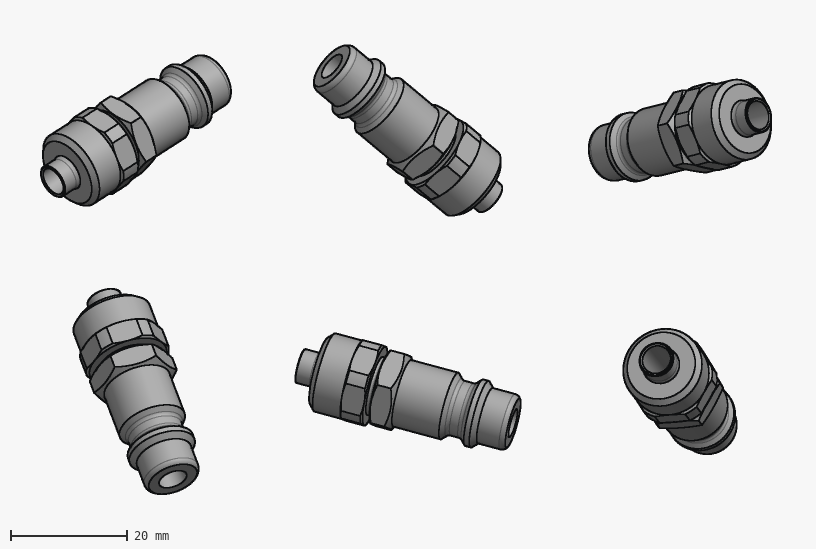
import cadquery as cq
import math

TOTAL_LENGTH = 38.5
TAIL_FLARE_START = 2.6
CAP_FRONT = 3.5
CAP_HEX_FRONT = 9.47
CAP_HEX_BACK = 13.5
BODY_HEX_FRONT = 14.5
BODY_HEX_BACK = 18.48
BODY_SHOULDER = 27.0
COLLAR_FRONT = 31.5
COLLAR_BACK = 32.5

BORE_RADIUS = 2.5
TAIL_MOUTH_RADIUS = 2.85
TAIL_MOUTH_DEPTH = 0.15
TAIL_RADIUS = 3.05
TAIL_FLARE_RADIUS = 3.25
CAP_RADIUS = 7.0
NECK_RADIUS = 5.2
BODY_RADIUS = 5.95
GROOVE_RADIUS = 4.9
PLUG_RADIUS = 4.95
PLUG_END_RADIUS = 4.4

TAIL_TIP_CHAMFER = 0.1
CAP_CHAMFER = 0.95
NECK_FILLET = 0.5
GROOVE_FILLET = 1.0
PLUG_ROUND_LENGTH = 1.0

CAP_HEX_FLATS = 14.0
BODY_HEX_FLATS = 13.0
HEX_OUTER_RADIUS = 7.5
BODY_HEX_FRONT_RADIUS = 6.4
HEX_CHAMFER_SLOPE = math.tan(math.radians(30))


def revolve_about_y(profile):
    return profile.close().revolve(360, (0, 0, 0), (0, 1, 0))


def cylinder(radius, start, end):
    return revolve_about_y(
        cq.Workplane("XY").moveTo(0, start).lineTo(radius, start).lineTo(radius, end).lineTo(0, end)
    )


def chamfered_hex(flats, start, end, start_radius, end_radius):
    """Hexagonal prism along Y whose corners are turned to a chamfered round."""
    across_corners = flats / math.cos(math.radians(30))
    prism = (
        cq.Workplane("XZ", origin=(0, start, 0))
        .polygon(6, across_corners)
        .extrude(start - end)
    )
    start_chamfer = (HEX_OUTER_RADIUS - start_radius) * HEX_CHAMFER_SLOPE
    end_chamfer = (HEX_OUTER_RADIUS - end_radius) * HEX_CHAMFER_SLOPE
    envelope = revolve_about_y(
        cq.Workplane("XY")
        .moveTo(0, start)
        .lineTo(start_radius, start)
        .lineTo(HEX_OUTER_RADIUS, start + start_chamfer)
        .lineTo(HEX_OUTER_RADIUS, end - end_chamfer)
        .lineTo(end_radius, end)
        .lineTo(0, end)
    )
    return prism.intersect(envelope)


def hose_tail():
    return revolve_about_y(
        cq.Workplane("XY")
        .lineTo(TAIL_RADIUS - TAIL_TIP_CHAMFER, 0)
        .lineTo(TAIL_RADIUS, TAIL_TIP_CHAMFER)
        .lineTo(TAIL_RADIUS, TAIL_FLARE_START)
        .tangentArcPoint((TAIL_FLARE_RADIUS, CAP_FRONT), relative=False)
        .lineTo(0, CAP_FRONT)
    )


def cap():
    barrel = cylinder(CAP_RADIUS, CAP_FRONT, CAP_HEX_FRONT).faces("<Y").edges().chamfer(CAP_CHAMFER)
    grip = chamfered_hex(CAP_HEX_FLATS, CAP_HEX_FRONT, CAP_HEX_BACK, CAP_RADIUS, CAP_RADIUS)
    return barrel.union(grip)


def neck():
    return revolve_about_y(
        cq.Workplane("XY")
        .moveTo(0, CAP_HEX_BACK)
        .lineTo(NECK_RADIUS, CAP_HEX_BACK)
        .lineTo(NECK_RADIUS, BODY_HEX_FRONT - NECK_FILLET)
        .tangentArcPoint((NECK_RADIUS + NECK_FILLET, BODY_HEX_FRONT), relative=False)
        .lineTo(0, BODY_HEX_FRONT)
    )


def plug_body():
    """Round body, locking groove, collar and plug end, with 45 degree flanks."""
    arc_length = GROOVE_FILLET * math.sin(math.radians(45))
    arc_rise = GROOVE_FILLET - arc_length
    flank_radius = GROOVE_RADIUS + arc_rise
    flank_length = BODY_RADIUS - flank_radius
    groove_start = BODY_SHOULDER + flank_length + arc_length
    groove_end = COLLAR_FRONT - flank_length - arc_length
    return revolve_about_y(
        cq.Workplane("XY")
        .moveTo(0, BODY_HEX_BACK)
        .lineTo(BODY_RADIUS, BODY_HEX_BACK)
        .lineTo(BODY_RADIUS, BODY_SHOULDER)
        .lineTo(flank_radius, BODY_SHOULDER + flank_length)
        .tangentArcPoint((GROOVE_RADIUS, groove_start), relative=False)
        .lineTo(GROOVE_RADIUS, groove_end)
        .tangentArcPoint((flank_radius, groove_end + arc_length), relative=False)
        .lineTo(BODY_RADIUS, COLLAR_FRONT)
        .lineTo(BODY_RADIUS, COLLAR_BACK)
        .lineTo(PLUG_RADIUS, COLLAR_BACK + BODY_RADIUS - PLUG_RADIUS)
        .lineTo(PLUG_RADIUS, TOTAL_LENGTH - PLUG_ROUND_LENGTH)
        .tangentArcPoint((PLUG_END_RADIUS, TOTAL_LENGTH), relative=False)
        .lineTo(0, TOTAL_LENGTH)
    )


body_hex = chamfered_hex(
    BODY_HEX_FLATS, BODY_HEX_FRONT, BODY_HEX_BACK, BODY_HEX_FRONT_RADIUS, BODY_RADIUS
)
outside = hose_tail().union(cap()).union(neck()).union(body_hex).union(plug_body())
bore = cylinder(BORE_RADIUS, 0, TOTAL_LENGTH)
tail_mouth = revolve_about_y(
    cq.Workplane("XY")
    .lineTo(TAIL_MOUTH_RADIUS, 0)
    .lineTo(BORE_RADIUS, TAIL_MOUTH_DEPTH)
    .lineTo(0, TAIL_MOUTH_DEPTH)
)
result = outside.cut(bore).cut(tail_mouth)